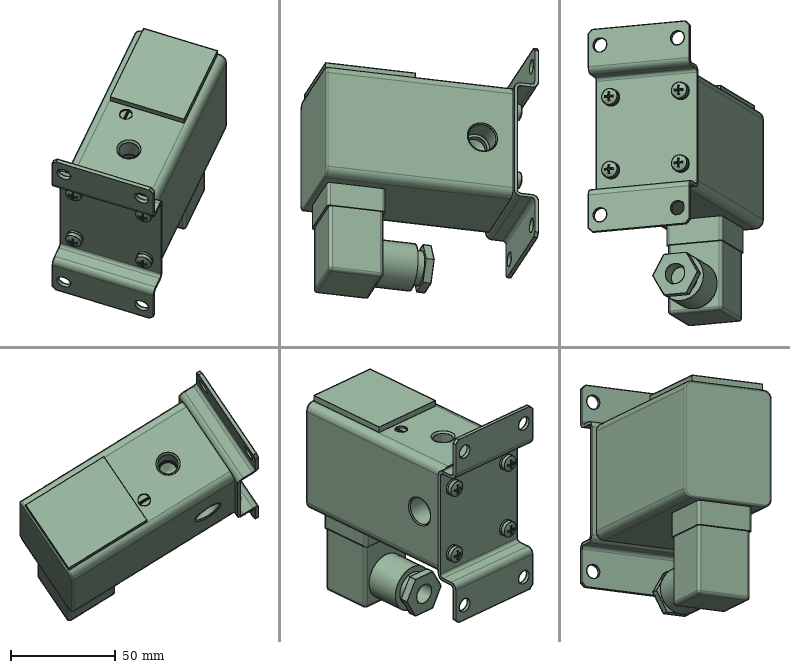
import cadquery as cq
import math


HOUSING_WIDTH = 47
HOUSING_LENGTH = 93
HOUSING_HEIGHT = 58
HOUSING_TOP = HOUSING_HEIGHT / 2
HOUSING_EDGE_RADIUS = 4.2
REAR_EDGE_RADIUS = 0.8

COVER_WIDTH = 38
COVER_LENGTH = 44.7
COVER_THICKNESS = 3
COVER_REAR_Y = HOUSING_LENGTH - REAR_EDGE_RADIUS

ADJUSTER_X = -9
ADJUSTER_Y = 42.5
ADJUSTER_DIAMETER = 6
ADJUSTER_RECESS = 1
ADJUSTER_SLOT_WIDTH = 0.8
ADJUSTER_SLOT_DEPTH = 1

DRILL_POINT_ANGLE = 118
TOP_PORT_Y = 23
TOP_PORT_MOUTH_DIAMETER = 11.6
TOP_PORT_BORE_DIAMETER = 9.7
TOP_PORT_BORE_DEPTH = 10
TOP_PORT_DRILL_DIAMETER = 8.6
TOP_PORT_DRILL_DEPTH = 12
SIDE_PORT_Y = 15.3
SIDE_PORT_MOUTH_DIAMETER = 15
SIDE_PORT_BORE_DIAMETER = 13.8
SIDE_PORT_BORE_DEPTH = 12
SIDE_PORT_DRILL_DIAMETER = 11
SIDE_PORT_DRILL_DEPTH = 15

BASE_SIDE = 29
BASE_HEIGHT = 12
BASE_CENTRE_Y = 75.5
BASE_BOTTOM = -HOUSING_TOP - BASE_HEIGHT
PLUG_WIDTH = 28
PLUG_LENGTH = 27
PLUG_HEIGHT = 34
PLUG_FRONT_Y = BASE_CENTRE_Y - PLUG_LENGTH / 2
CONNECTOR_EDGE_RADIUS = 1.5

GLAND_Z = -62
GLAND_DIAMETER = 23
GLAND_LENGTH = 18
NECK_DIAMETER = 17
NECK_LENGTH = 4
NUT_ACROSS_FLATS = 20
NUT_ACROSS_CORNERS = NUT_ACROSS_FLATS / math.cos(math.radians(30))
NUT_THICKNESS = 4
CABLE_BORE_DIAMETER = 10
CABLE_BORE_DEPTH = NECK_LENGTH + NUT_THICKNESS

BRACKET_WIDTH = 52
BRACKET_HEIGHT = 100
BRACKET_DEPTH = 12
STEP_HEIGHT = 60
WEB_THICKNESS = 1.5
FLANGE_THICKNESS = 1.9
BEND_OUTER_RADIUS = 3.2
BEND_INNER_RADIUS = 1.7
BRACKET_CORNER_CHAMFER = 2
MOUNTING_HOLE_DIAMETER = 7
MOUNTING_HOLE_SPACING_X = 40
MOUNTING_HOLE_SPACING_Z = 84

SCREW_SPACING = 36
WASHER_DIAMETER = 8.1
WASHER_THICKNESS = 1.1
HEAD_DIAMETER = 7.9
HEAD_RIM_HEIGHT = 2
HEAD_DOME_HEIGHT = 1.1
CROSS_LENGTH = 4.4
CROSS_WIDTH = 0.8
CROSS_DEPTH = 1.2


def block(width, length, height, front_y, bottom_z):
    """Box centred on X = 0, standing on bottom_z with its front face at front_y."""
    return cq.Workplane("XY").box(width, length, height, (True, False, False)).translate((0, front_y, bottom_z))


def forward_cylinder(diameter, length, back_y, z):
    """Cylinder on X = 0 that runs from back_y towards -Y."""
    return cq.Workplane("XZ", origin=(0, back_y, z)).circle(diameter / 2).extrude(length)


def port_cutter(mouth_diameter, bore_diameter, bore_depth, drill_diameter, drill_depth):
    """Turned port shape with its mouth at Z = 0 and its drill point towards -Z."""
    mouth_radius = mouth_diameter / 2
    bore_radius = bore_diameter / 2
    drill_radius = drill_diameter / 2
    chamfer = mouth_radius - bore_radius
    point_length = drill_radius / math.tan(math.radians(DRILL_POINT_ANGLE / 2))
    return (
        cq.Workplane("XZ")
        .lineTo(mouth_radius, 0)
        .lineTo(bore_radius, -chamfer)
        .lineTo(bore_radius, -bore_depth)
        .lineTo(drill_radius, -bore_depth)
        .lineTo(drill_radius, -drill_depth)
        .lineTo(0, -drill_depth - point_length)
        .close()
        .revolve(360, (0, 0, 0), (0, 1, 0))
    )


def adjuster_cutter():
    """Round recess with a screwdriver slot across its floor."""
    recess_floor = HOUSING_TOP - ADJUSTER_RECESS
    recess = (
        cq.Workplane("XY", origin=(ADJUSTER_X, ADJUSTER_Y, recess_floor))
        .circle(ADJUSTER_DIAMETER / 2)
        .extrude(ADJUSTER_RECESS)
    )
    slot = (
        cq.Workplane("XY", origin=(ADJUSTER_X, ADJUSTER_Y, recess_floor))
        .rect(ADJUSTER_SLOT_WIDTH, ADJUSTER_DIAMETER)
        .extrude(-ADJUSTER_SLOT_DEPTH)
    )
    return recess.union(slot)


def connector():
    """Connector base and plug with the cable gland that points to the front."""
    base = block(BASE_SIDE, BASE_SIDE, BASE_HEIGHT, BASE_CENTRE_Y - BASE_SIDE / 2, BASE_BOTTOM)
    base = base.edges("|Z").fillet(CONNECTOR_EDGE_RADIUS)
    plug = block(PLUG_WIDTH, PLUG_LENGTH, PLUG_HEIGHT, PLUG_FRONT_Y, BASE_BOTTOM - PLUG_HEIGHT)
    plug = plug.edges("|Z or <Z").fillet(CONNECTOR_EDGE_RADIUS)

    neck_y = PLUG_FRONT_Y - GLAND_LENGTH
    nut_y = neck_y - NECK_LENGTH
    gland_root = PLUG_LENGTH / 2
    gland = forward_cylinder(GLAND_DIAMETER, gland_root + GLAND_LENGTH, PLUG_FRONT_Y + gland_root, GLAND_Z)
    neck = forward_cylinder(NECK_DIAMETER, NECK_LENGTH, neck_y, GLAND_Z)
    nut = (
        cq.Workplane("XZ", origin=(0, nut_y, GLAND_Z))
        .polygon(6, NUT_ACROSS_CORNERS)
        .extrude(NUT_THICKNESS)
    )
    cable_bore = forward_cylinder(CABLE_BORE_DIAMETER, CABLE_BORE_DEPTH, neck_y, GLAND_Z)
    return base.union(plug).union(gland).union(neck).union(nut).cut(cable_bore)


def make_valve():
    """Housing with cover, ports, adjuster and connector."""
    housing = block(HOUSING_WIDTH, HOUSING_LENGTH, HOUSING_HEIGHT, 0, -HOUSING_TOP)
    housing = housing.edges("|Y").fillet(HOUSING_EDGE_RADIUS)
    housing = housing.faces(">Y").edges().fillet(REAR_EDGE_RADIUS)
    cover = block(COVER_WIDTH, COVER_LENGTH, COVER_THICKNESS, COVER_REAR_Y - COVER_LENGTH, HOUSING_TOP)

    top_port = port_cutter(
        TOP_PORT_MOUTH_DIAMETER,
        TOP_PORT_BORE_DIAMETER,
        TOP_PORT_BORE_DEPTH,
        TOP_PORT_DRILL_DIAMETER,
        TOP_PORT_DRILL_DEPTH,
    ).translate((0, TOP_PORT_Y, HOUSING_TOP))
    side_port = port_cutter(
        SIDE_PORT_MOUTH_DIAMETER,
        SIDE_PORT_BORE_DIAMETER,
        SIDE_PORT_BORE_DEPTH,
        SIDE_PORT_DRILL_DIAMETER,
        SIDE_PORT_DRILL_DEPTH,
    )
    side_port = side_port.rotate((0, 0, 0), (0, 1, 0), -90).translate((-HOUSING_WIDTH / 2, SIDE_PORT_Y, 0))

    valve = housing.union(cover).union(connector())
    return valve.cut(top_port).cut(side_port).cut(adjuster_cutter())


def bracket_sheet():
    """Sheet bent into a hat: web against the housing, then a step and a flange at each end."""
    step_outer = STEP_HEIGHT / 2
    step_inner = step_outer - WEB_THICKNESS
    flange_end = BRACKET_HEIGHT / 2
    flange_back = FLANGE_THICKNESS - BRACKET_DEPTH
    upper_half = (
        cq.Workplane("YZ", origin=(-BRACKET_WIDTH / 2, 0, 0))
        .lineTo(0, step_outer - BEND_OUTER_RADIUS)
        .radiusArc((-BEND_OUTER_RADIUS, step_outer), -BEND_OUTER_RADIUS)
        .lineTo(flange_back + BEND_INNER_RADIUS, step_outer)
        .radiusArc((flange_back, step_outer + BEND_INNER_RADIUS), BEND_INNER_RADIUS)
        .lineTo(flange_back, flange_end)
        .lineTo(-BRACKET_DEPTH, flange_end)
        .lineTo(-BRACKET_DEPTH, step_inner + BEND_OUTER_RADIUS)
        .radiusArc((-BRACKET_DEPTH + BEND_OUTER_RADIUS, step_inner), -BEND_OUTER_RADIUS)
        .lineTo(-WEB_THICKNESS - BEND_INNER_RADIUS, step_inner)
        .radiusArc((-WEB_THICKNESS, step_inner - BEND_INNER_RADIUS), BEND_INNER_RADIUS)
        .lineTo(-WEB_THICKNESS, 0)
        .close()
        .extrude(BRACKET_WIDTH)
    )
    sheet = upper_half.union(upper_half.mirror("XY"))
    sheet = sheet.edges("|Y and (<Z or >Z)").chamfer(BRACKET_CORNER_CHAMFER)
    holes = (
        cq.Workplane("XZ")
        .rarray(MOUNTING_HOLE_SPACING_X, MOUNTING_HOLE_SPACING_Z, 2, 2)
        .circle(MOUNTING_HOLE_DIAMETER / 2)
        .extrude(BRACKET_DEPTH)
    )
    return sheet.cut(holes)


def screw_head():
    """Washer and domed cross-recess head, built along -Y from Y = 0."""
    rim_y = -WASHER_THICKNESS - HEAD_RIM_HEIGHT
    crown_y = rim_y - HEAD_DOME_HEIGHT
    head_radius = HEAD_DIAMETER / 2
    washer_radius = WASHER_DIAMETER / 2
    dome_radius = (head_radius**2 + HEAD_DOME_HEIGHT**2) / (2 * HEAD_DOME_HEIGHT)
    head = (
        cq.Workplane("XY")
        .lineTo(washer_radius, 0)
        .lineTo(washer_radius, -WASHER_THICKNESS)
        .lineTo(head_radius, -WASHER_THICKNESS)
        .lineTo(head_radius, rim_y)
        .radiusArc((0, crown_y), dome_radius)
        .close()
        .revolve(360, (0, 0, 0), (0, 1, 0))
    )
    recess_plane = cq.Workplane("XZ", origin=(0, crown_y + CROSS_DEPTH, 0))
    for length, height in ((CROSS_LENGTH, CROSS_WIDTH), (CROSS_WIDTH, CROSS_LENGTH)):
        head = head.cut(recess_plane.rect(length, height).extrude(CROSS_DEPTH))
    return head


def make_bracket():
    """Bent sheet with its four screw heads."""
    bracket = bracket_sheet()
    head = screw_head()
    for side in (-1, 1):
        for level in (-1, 1):
            place = (side * SCREW_SPACING / 2, -WEB_THICKNESS, level * SCREW_SPACING / 2)
            bracket = bracket.union(head.translate(place))
    return bracket


valve = make_valve()
bracket = make_bracket()

result = cq.Compound.makeCompound([valve.val(), bracket.val()])